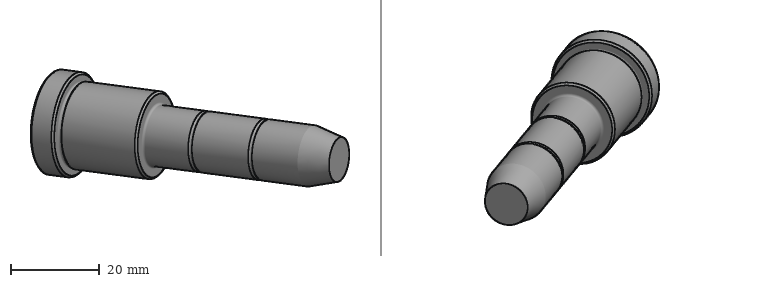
import cadquery as cq
import math

length = 72.0
head_diameter = 24.0
head_length = 6.0
shoulder_diameter = 20.0
shoulder_end = 26.0
pin_diameter = 14.0
edge_chamfer = 0.5
root_fillet = 0.6

undercut_width = 1.0
undercut_depth = undercut_width / 2

groove_starts = (37.45, 52.55)
groove_width = 0.9
groove_depth = 0.35

nose_length = 7.0
nose_angle = 15.0

head_face = -length / 2


def cylinder(start, end, diameter):
    """Solid cylinder along X between two distances from the head face."""
    return (
        cq.Workplane("YZ", origin=(head_face + start, 0, 0))
        .circle(diameter / 2)
        .extrude(end - start)
    )


def round_groove(start, width, depth, diameter):
    """Ring with a circular-arc floor, to be cut from a cylinder."""
    radius = diameter / 2
    left = head_face + start
    return (
        cq.Workplane("XY")
        .moveTo(left, radius)
        .threePointArc((left + width / 2, radius - depth), (left + width, radius))
        .close()
        .revolve(360, (0, 0, 0), (1, 0, 0))
    )


head = cylinder(0, head_length, head_diameter).faces("<X or >X").chamfer(edge_chamfer)

shoulder = cylinder(head_length, shoulder_end, shoulder_diameter).faces(">X").chamfer(edge_chamfer)

nose_drop = nose_length * math.tan(math.radians(nose_angle))
pin = (
    cylinder(shoulder_end, length, pin_diameter)
    .faces(">X")
    .chamfer(nose_length, nose_drop)
)

result = head.union(shoulder).union(pin)

shoulder_face = head_face + shoulder_end
face_tolerance = 0.1
face_region = cq.selectors.BoxSelector(
    (shoulder_face - face_tolerance, -head_diameter, -head_diameter),
    (shoulder_face + face_tolerance, head_diameter, head_diameter),
)
smallest_radius = cq.selectors.RadiusNthSelector(0)
result = result.faces(face_region).edges(smallest_radius).fillet(root_fillet)

result = result.cut(round_groove(head_length, undercut_width, undercut_depth, shoulder_diameter))

for groove_start in groove_starts:
    result = result.cut(round_groove(groove_start, groove_width, groove_depth, pin_diameter))